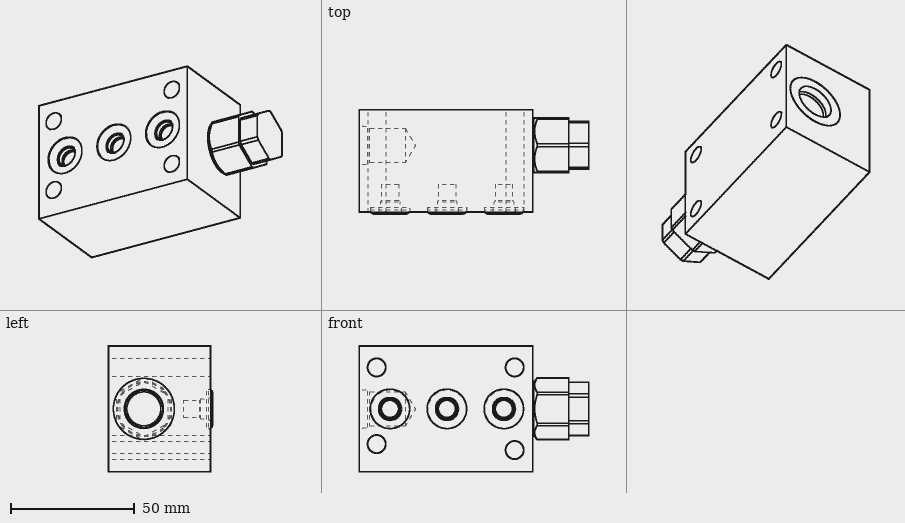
import cadquery as cq
import math

BLOCK_LENGTH = 70.0
BLOCK_DEPTH = 41.3
BLOCK_HEIGHT = 50.8

AXIS_Z = BLOCK_HEIGHT / 2
AXIS_Y = 26.9

MOUNTING_HOLE_DIAMETER = 7.2
LEFT_HOLES_X = 7.0
RIGHT_HOLES_X = 62.7
UPPER_HOLES_Z = 42.1
LOWER_LEFT_HOLE_Z = 11.2
LOWER_RIGHT_HOLE_Z = 8.8

PORT_COUNT = 3
FIRST_PORT_X = 12.4
PORT_SPACING = 23.0
RING_OUTER_DIAMETER = 15.9
RING_SECTION_RADIUS = 1.8
RING_PROTRUSION = 0.8
COUNTERBORE_DEPTH = 1.85
PORT_DIAMETER = 8.0
PORT_INNER_DIAMETER = 6.9
PORT_STEP_DEPTH = 4.2
PORT_DEPTH = 11.1

RING_CENTRE_RADIUS = RING_OUTER_DIAMETER / 2 - RING_SECTION_RADIUS
RING_CENTRE_Y = RING_SECTION_RADIUS - RING_PROTRUSION

SPOTFACE_DIAMETER = 24.6
SPOTFACE_DEPTH = 0.1
SIDE_PORT_DIAMETER = 15.7
SIDE_PORT_THROAT_DIAMETER = 15.2
SIDE_PORT_BORE_DIAMETER = 13.7
SIDE_PORT_ENTRY_DEPTH = 3.2
SIDE_PORT_BORE_DEPTH = 18.5
DRILL_POINT_ANGLE = 118

COLLAR_DIAMETER = 22.1
COLLAR_END_X = 70.4
LARGE_HEX_FLATS = 22.1
LARGE_HEX_CORNERS = 24.9
LARGE_HEX_END_X = 84.5
HEX_CHAMFER_LENGTH = 1.3
HEX_CHAMFER_START_DIAMETER = 21.3
SMALL_HEX_FLATS = 19.3
SMALL_HEX_CORNERS = 21.6
FITTING_END_X = 92.6


def revolve_about_x(profile):
    """Turn an (X, radius) profile about the axis of the fitting and side port."""
    turned = cq.Workplane("XY").polyline(profile).close().revolve(360, (0, 0, 0), (1, 0, 0))
    return turned.translate((0, AXIS_Y, AXIS_Z))


def revolve_about_y(profile, x):
    """Turn a closed (radius, Y) sketch about the axis of the front port at x."""
    return profile.revolve(360, (0, 0, 0), (0, 1, 0)).translate((x, 0, AXIS_Z))


def hexagon(flats, start_x, end_x):
    """Hexagonal bar along X with flats facing +Y and -Y."""
    corners = flats / math.cos(math.radians(30))
    bar = cq.Workplane("YZ").polygon(6, corners).extrude(end_x - start_x)
    bar = bar.rotate((0, 0, 0), (1, 0, 0), 90)
    return bar.translate((start_x, AXIS_Y, AXIS_Z))


def make_block():
    """Rectangular body with four through holes."""
    block = cq.Workplane("XY").box(BLOCK_LENGTH, BLOCK_DEPTH, BLOCK_HEIGHT, centered=False)
    hole_centres = [
        (LEFT_HOLES_X, UPPER_HOLES_Z),
        (LEFT_HOLES_X, LOWER_LEFT_HOLE_Z),
        (RIGHT_HOLES_X, UPPER_HOLES_Z),
        (RIGHT_HOLES_X, LOWER_RIGHT_HOLE_Z),
    ]
    holes = (
        cq.Workplane("XZ")
        .pushPoints(hole_centres)
        .circle(MOUNTING_HOLE_DIAMETER / 2)
        .extrude(-BLOCK_DEPTH)
    )
    return block.cut(holes)


def make_side_port():
    """Tool shape of the blind port in the left face."""
    bore_radius = SIDE_PORT_BORE_DIAMETER / 2
    throat_radius = SIDE_PORT_THROAT_DIAMETER / 2
    bore_start = SIDE_PORT_ENTRY_DEPTH + throat_radius - bore_radius
    tip_length = bore_radius / math.tan(math.radians(DRILL_POINT_ANGLE / 2))
    return revolve_about_x([
        (0, 0),
        (0, SPOTFACE_DIAMETER / 2),
        (SPOTFACE_DEPTH, SPOTFACE_DIAMETER / 2),
        (SPOTFACE_DEPTH, SIDE_PORT_DIAMETER / 2),
        (SIDE_PORT_ENTRY_DEPTH, throat_radius),
        (bore_start, bore_radius),
        (SIDE_PORT_BORE_DEPTH, bore_radius),
        (SIDE_PORT_BORE_DEPTH + tip_length, 0),
    ])


def make_fitting():
    """Collar and two hexagons with turned corners."""
    collar_radius = COLLAR_DIAMETER / 2
    large_radius = LARGE_HEX_CORNERS / 2
    small_radius = SMALL_HEX_CORNERS / 2

    collar = revolve_about_x([
        (BLOCK_LENGTH, 0),
        (BLOCK_LENGTH, collar_radius),
        (COLLAR_END_X, collar_radius),
        (COLLAR_END_X, 0),
    ])
    large_turning = revolve_about_x([
        (COLLAR_END_X, 0),
        (COLLAR_END_X, HEX_CHAMFER_START_DIAMETER / 2),
        (COLLAR_END_X + HEX_CHAMFER_LENGTH, large_radius),
        (LARGE_HEX_END_X, large_radius),
        (LARGE_HEX_END_X, 0),
    ])
    small_turning = revolve_about_x([
        (LARGE_HEX_END_X, 0),
        (LARGE_HEX_END_X, small_radius),
        (FITTING_END_X, small_radius),
        (FITTING_END_X, 0),
    ])
    large_hex = hexagon(LARGE_HEX_FLATS, COLLAR_END_X, LARGE_HEX_END_X).intersect(large_turning)
    small_hex = hexagon(SMALL_HEX_FLATS, LARGE_HEX_END_X, FITTING_END_X).intersect(small_turning)
    return collar.union(large_hex).union(small_hex)


def make_port_cut(x):
    """Tool shape of one front port with its ring counterbore."""
    seat_radius = RING_OUTER_DIAMETER / 2
    port_radius = PORT_DIAMETER / 2
    inner_radius = PORT_INNER_DIAMETER / 2
    step_end = PORT_STEP_DEPTH + port_radius - inner_radius
    profile = cq.Workplane("XY").polyline([
        (0, 0),
        (seat_radius, 0),
        (seat_radius, COUNTERBORE_DEPTH),
        (port_radius, COUNTERBORE_DEPTH),
        (port_radius, PORT_STEP_DEPTH),
        (inner_radius, step_end),
        (inner_radius, PORT_DEPTH),
        (0, PORT_DEPTH),
    ]).close()
    return revolve_about_y(profile, x)


def make_ring(x):
    """O-ring standing proud of the front face."""
    profile = cq.Workplane("XY").pushPoints([(RING_CENTRE_RADIUS, RING_CENTRE_Y)]).circle(RING_SECTION_RADIUS)
    return revolve_about_y(profile, x)


result = make_block().cut(make_side_port()).union(make_fitting())
for index in range(PORT_COUNT):
    port_x = FIRST_PORT_X + index * PORT_SPACING
    result = result.cut(make_port_cut(port_x)).union(make_ring(port_x))